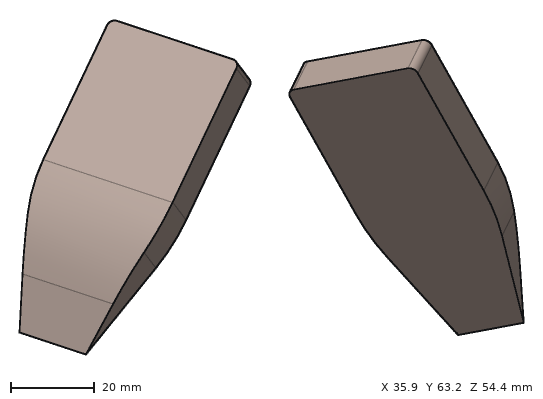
import cadquery as cq
import math

tilt = 35.8
length = 77.95
thickness = 10.8
width = 35.9
tip_width = 18.45
taper_length = 39.5
top_taper_angle = 23.0
side_taper_angle = 15.0
corner_radius = 1.9


def blend_points(shank_offset, tip_offset, angle):
    """Blend from the shank to the straight taper, as (distance from tip, offset).

    Returns the arc's start, middle and end; the arc is tangent to both.
    """
    slope = math.radians(angle)
    corner = (shank_offset - tip_offset) / math.tan(slope)
    tangent_length = taper_length - corner
    radius = tangent_length / math.tan(slope / 2)

    def arc_point(turn):
        along = taper_length - radius * math.sin(turn)
        offset = shank_offset - radius * (1 - math.cos(turn))
        return along, offset

    return arc_point(0), arc_point(slope / 2), arc_point(slope)


def side_profile():
    """Wedge-ended plate of full width; Y runs from tip to butt, Z is up."""
    start, middle, end = blend_points(thickness, 0, top_taper_angle)
    return (
        cq.Workplane("YZ")
        .moveTo(0, 0)
        .lineTo(length, 0)
        .lineTo(length, thickness)
        .lineTo(*start)
        .threePointArc(middle, end)
        .close()
        .extrude(width / 2, both=True)
    )


def plan_outline():
    """Prism with the plan shape: rounded butt corners and narrowing flanks."""
    half_width = width / 2
    half_tip = tip_width / 2
    start, middle, end = blend_points(half_width, half_tip, side_taper_angle)

    def right(point):
        return point[1], point[0]

    def left(point):
        return -point[1], point[0]

    return (
        cq.Workplane("XY")
        .moveTo(half_tip, 0)
        .lineTo(*right(end))
        .threePointArc(right(middle), right(start))
        .lineTo(half_width, length)
        .lineTo(-half_width, length)
        .lineTo(*left(start))
        .threePointArc(left(middle), left(end))
        .lineTo(-half_tip, 0)
        .close()
        .extrude(thickness)
        .edges("|Z and >Y")
        .fillet(corner_radius)
    )


flat_tooth = side_profile().intersect(plan_outline())
result = flat_tooth.rotate((0, 0, 0), (1, 0, 0), tilt)